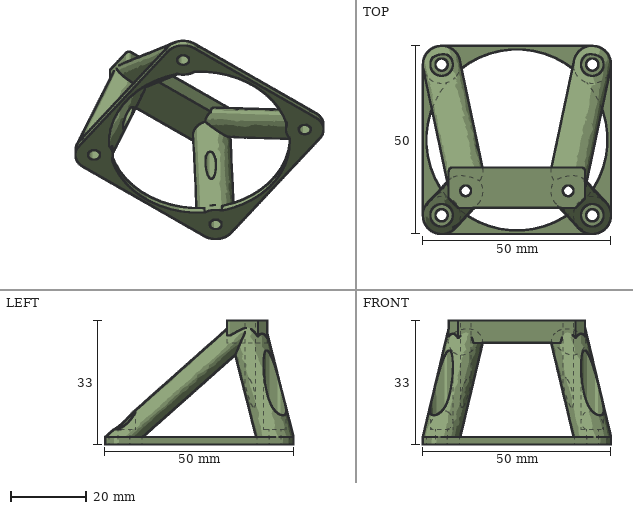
import cadquery as cq

frame_side = 50.0
frame_thickness = 2.0
corner_radius = 5.0
opening_diameter = 48.0
corner_offset = frame_side / 2 - corner_radius

total_height = 32.95
bar_length = 36.2
bar_width = 10.7
bar_thickness = 5.95
bar_front_y = -18.0
bar_front_chamfer = 2.5
bar_rear_fillet = 1.0
bar_bottom = total_height - bar_thickness
bar_center_y = bar_front_y + bar_width / 2

leg_top_z = 31.0
leg_top_x = bar_length / 2 - corner_radius
leg_top_y = bar_center_y

frame_hole_diameter = 3.2
counterbore_diameter = 6.0
counterbore_floor_z = 4.0
bar_hole_diameter = 2.8
bar_hole_x = 13.6
bar_hole_y = -13.5

SIDES = (-1, 1)
frame_corners = [(sx * corner_offset, sy * corner_offset) for sx in SIDES for sy in SIDES]


def make_frame():
    plate = cq.Workplane("XY").rect(frame_side, frame_side).extrude(frame_thickness)
    plate = plate.edges("|Z").fillet(corner_radius)
    return plate.faces(">Z").workplane().hole(opening_diameter)


def make_leg(foot_x, foot_y):
    """Oblique round leg from a frame corner up into the bar, with a solid foot inside the frame."""
    side = 1 if foot_x > 0 else -1
    foot = cq.Vector(foot_x, foot_y, frame_thickness)
    top = cq.Vector(side * leg_top_x, leg_top_y, leg_top_z)
    up = cq.Vector(0, 0, 1)
    circles = [cq.Wire.makeCircle(corner_radius, center, up) for center in (foot, top)]
    leg = cq.Workplane(cq.Solid.makeLoft(circles, True))
    foot_pad = cq.Workplane("XY").center(foot_x, foot_y).circle(corner_radius).extrude(frame_thickness)
    return leg.union(foot_pad)


def make_bar():
    bar = (
        cq.Workplane("XY", origin=(0, bar_center_y, bar_bottom))
        .rect(bar_length, bar_width)
        .extrude(bar_thickness)
    )
    bar = bar.edges("|Z and <Y").chamfer(bar_front_chamfer)
    return bar.edges("|Z and >Y").fillet(bar_rear_fillet)


def vertical_drill(points, diameter, start_z):
    """Upright cutters running from start_z to the top of the part."""
    return (
        cq.Workplane("XY", origin=(0, 0, start_z))
        .pushPoints(points)
        .circle(diameter / 2)
        .extrude(total_height - start_z)
    )


result = make_frame().union(make_bar())
for corner_x, corner_y in frame_corners:
    result = result.union(make_leg(corner_x, corner_y))

bar_holes = [(sx * bar_hole_x, bar_hole_y) for sx in SIDES]
result = result.cut(vertical_drill(frame_corners, frame_hole_diameter, 0))
result = result.cut(vertical_drill(frame_corners, counterbore_diameter, counterbore_floor_z))
result = result.cut(vertical_drill(bar_holes, bar_hole_diameter, 0))